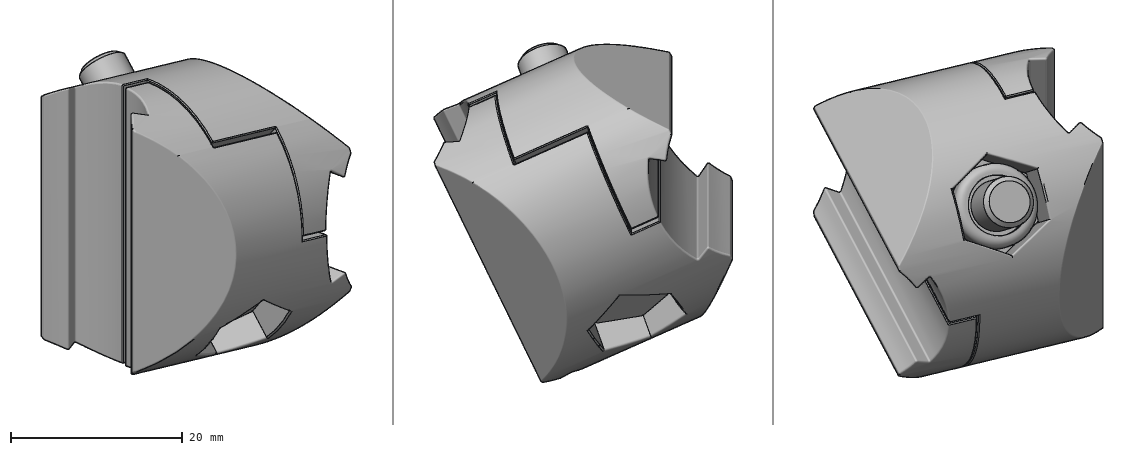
import cadquery as cq
import math


BARREL_RADIUS = 17.15
BARREL_LENGTH = 27.5
ROOF_SUM = 22.48
EDGE_ROUNDING = 0.2

TUBE_RADIUS = 13.55
SADDLE_DEPTH = 5.4
MOUTH_RADIUS = 11.5
LIP_ANGLE = 30.0

SLIT_GAP = 0.4
STEP_POSITION = 4.75
STEP_GAP = 0.1
DIAGONAL_GAP = 0.6
PARTING_CHAMFER = 0.15

POCKET_WIDTH = 10.5
POCKET_FLOOR = 9.15

BOLT_DIAMETER = 6.0
BOLT_END = 20.85
BOLT_CHAMFER = 0.55
HEX_WIDTH = 10.0
HEAD_HEIGHT = 4.0

NUT_HEIGHT = 6.0
NUT_HEX_HEIGHT = 3.1
COLLAR_DIAMETER = 9.95
COLLAR_ROUNDING = 1.0
COLLAR_BORE = 7.15
COLLAR_BORE_DEPTH = 1.0

HALF_LENGTH = BARREL_LENGTH / 2
SADDLE_BOTTOM = HALF_LENGTH - SADDLE_DEPTH
TUBE_CENTRE = SADDLE_BOTTOM + TUBE_RADIUS
HALF_SHIFT = DIAGONAL_GAP / 2
CLEAR = 4 * BARREL_RADIUS
TOLERANCE = 0.005


def bolt_plane(distance):
    """Plane square to the bolt axis; its local x runs along the barrel axis."""
    reach = distance / math.sqrt(2)
    return cq.Plane(origin=(-reach, 0, reach), xDir=(0, 1, 0), normal=(-1, 0, 1))


def bolt_disc(distance, diameter, height):
    """Cylinder on the bolt axis, from a distance along it."""
    return cq.Workplane(bolt_plane(distance)).circle(diameter / 2).extrude(height)


def bolt_hexagon(distance, width, height):
    """Hexagonal prism on the bolt axis, with two flats square to the barrel axis."""
    plane = cq.Workplane(bolt_plane(distance))
    return plane.polygon(6, width, circumscribed=True).extrude(height)


def outer_end_edges(body):
    """The edges of a body that lie furthest along the bolt axis."""
    return body.edges(cq.selectors.DirectionMinMaxSelector(cq.Vector(-1, 0, 1)))



def around_tube(radius, angle):
    """Point of the front saddle outline, at an angle about the tube centre from the saddle middle."""
    turn = math.radians(angle)
    return radius * math.sin(turn), radius * math.cos(turn) - TUBE_CENTRE


def end_cutter():
    """What is cut from the front end: the tube saddle and the space beyond the two roofs."""
    end_angle = math.degrees(math.acos((TUBE_CENTRE - HALF_LENGTH) / MOUTH_RADIUS))
    middle_angle = (LIP_ANGLE + end_angle) / 2
    end_x, end_y = around_tube(MOUTH_RADIUS, end_angle)
    base = cq.Workplane("XY", origin=(0, 0, -CLEAR / 2))
    cutter = (
        base.moveTo(-end_x, end_y)
        .threePointArc(around_tube(MOUTH_RADIUS, -middle_angle), around_tube(MOUTH_RADIUS, -LIP_ANGLE))
        .lineTo(*around_tube(TUBE_RADIUS, -LIP_ANGLE))
        .threePointArc((0, -SADDLE_BOTTOM), around_tube(TUBE_RADIUS, LIP_ANGLE))
        .lineTo(*around_tube(MOUTH_RADIUS, LIP_ANGLE))
        .threePointArc(around_tube(MOUTH_RADIUS, middle_angle), (end_x, end_y))
        .lineTo(end_x, -BARREL_LENGTH)
        .lineTo(-end_x, -BARREL_LENGTH)
        .close()
        .extrude(CLEAR)
    )
    for side in (-1, 1):
        beyond_roof = (
            base.moveTo(0, -ROOF_SUM)
            .lineTo(side * ROOF_SUM, 0)
            .lineTo(side * ROOF_SUM, -ROOF_SUM)
            .close()
            .extrude(CLEAR)
        )
        cutter = cutter.union(beyond_roof)
    return cutter


def barrel(radius, shift):
    """Whole barrel about an axis moved along the bolt, with both saddles and all edges rounded."""
    body = cq.Workplane("XZ").circle(radius).extrude(HALF_LENGTH, both=True)
    front = end_cutter()
    back = front.rotate((0, 0, 0), (0, 0, 1), 180).rotate((0, 0, 0), (0, 1, 0), 90)
    body = body.translate(bolt_plane(shift).origin).cut(front).cut(back)
    return body.edges("not |Y").fillet(EDGE_ROUNDING)



def box(x_range, y_range, z_range):
    """Box between the given limits."""
    lows, highs = zip(x_range, y_range, z_range)
    sizes = [high - low for low, high in zip(lows, highs)]
    return cq.Workplane("XY").box(*sizes, centered=False).translate(lows)


def parted_half():
    """Half that holds -X at the front, +Z at the back and the nut side of the diagonal between."""
    slit = SLIT_GAP / 2
    inner = STEP_POSITION - STEP_GAP / 2
    outer = STEP_POSITION + STEP_GAP / 2
    everywhere = (-CLEAR, CLEAR)
    nut_side = bolt_disc(HALF_SHIFT, CLEAR, CLEAR)
    head_side = bolt_disc(HALF_SHIFT, CLEAR, -CLEAR)

    past_front = box((-slit, CLEAR), (-CLEAR, -inner), everywhere)
    past_back = box(everywhere, (inner, CLEAR), (-CLEAR, slit))
    main = barrel(BARREL_RADIUS, 0).intersect(nut_side).cut(past_front).cut(past_back)

    front = box((-CLEAR, -slit), (-CLEAR, -outer), everywhere)
    back = box(everywhere, (outer, CLEAR), (slit, CLEAR))
    overhang_radius = math.sqrt(BARREL_RADIUS**2 - HALF_SHIFT**2)
    overhangs = barrel(overhang_radius, HALF_SHIFT).intersect(head_side)
    return main.union(overhangs.intersect(front.union(back)))


def edge_points(edge):
    return [edge.positionAt(share) for share in (0, 0.5, 1)]


def is_parting_rim(edge):
    """True for an edge where a parting face meets the round surface between the saddles."""
    reach = SADDLE_BOTTOM - EDGE_ROUNDING / 2
    return all(
        math.hypot(point.x, point.z) > BARREL_RADIUS - DIAGONAL_GAP and abs(point.y) < reach
        for point in edge_points(edge)
    )


def is_pocket_mouth(edge):
    """True for an edge of the pocket that lies on the round surface."""
    return all(
        abs(math.hypot(point.x, point.z) - BARREL_RADIUS) < TOLERANCE
        and math.hypot(point.x + point.z, math.sqrt(2) * point.y) < POCKET_WIDTH
        for point in edge_points(edge)
    )


def make_nut_half():
    """Clamp half with the bolt hole and the pocket of the nut."""
    half = parted_half()
    half = half.edges().filter(is_parting_rim).chamfer(PARTING_CHAMFER)
    half = half.cut(bolt_hexagon(POCKET_FLOOR, POCKET_WIDTH, BARREL_RADIUS))
    half = half.cut(bolt_disc(0, BOLT_DIAMETER, BARREL_RADIUS))
    return half.edges().filter(is_pocket_mouth).fillet(EDGE_ROUNDING)



def make_nut():
    """Lock nut: hexagon below a rounded collar that has a wider bore at its top."""
    collar = outer_end_edges(bolt_disc(POCKET_FLOOR, COLLAR_DIAMETER, NUT_HEIGHT)).fillet(COLLAR_ROUNDING)
    blank = bolt_hexagon(POCKET_FLOOR, HEX_WIDTH, NUT_HEX_HEIGHT).union(collar)
    bore = bolt_disc(POCKET_FLOOR, BOLT_DIAMETER, NUT_HEIGHT)
    top_bore = bolt_disc(POCKET_FLOOR + NUT_HEIGHT, COLLAR_BORE, -COLLAR_BORE_DEPTH)
    return blank.cut(bore).cut(top_bore)


def make_bolt():
    """Hexagon bolt: head in the pocket opposite the nut, chamfered end beyond the nut."""
    shank = outer_end_edges(bolt_disc(-POCKET_FLOOR, BOLT_DIAMETER, POCKET_FLOOR + BOLT_END))
    head = bolt_hexagon(-POCKET_FLOOR, HEX_WIDTH, -HEAD_HEIGHT)
    return shank.chamfer(BOLT_CHAMFER).union(head)


nut_half = make_nut_half()
head_half = nut_half.rotate((0, 0, 0), (0, 1, 0), 180)
nut = make_nut()
bolt = make_bolt()
bodies = (nut_half, head_half, nut, bolt)
result = cq.Compound.makeCompound([body.solids().val() for body in bodies])